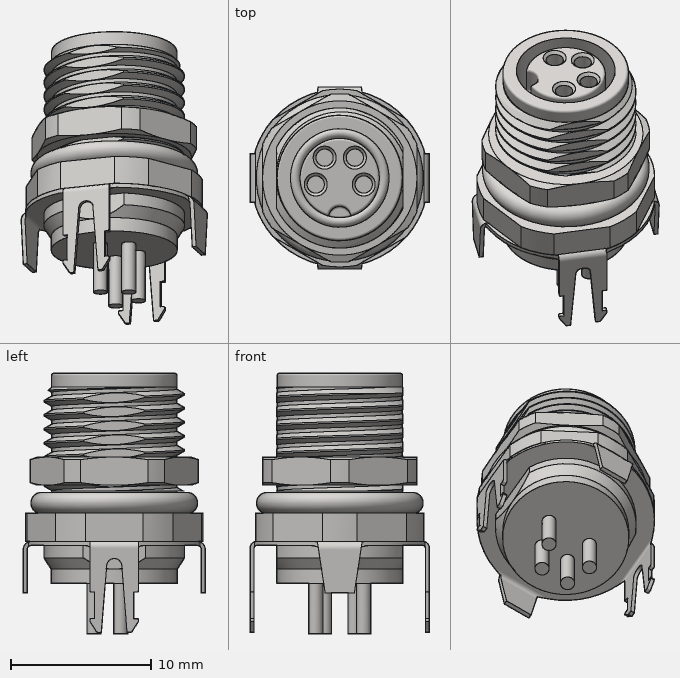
import cadquery as cq
import math


top_z = 18.6
thread_top_z = 17.6
thread_bottom_z = 10.17
nut_top_z = 12.61
nut_height = 2.0
flange_top_z = 8.61
flange_height = 2.0
body_cone_top_z = 5.43
body_cone_bottom_z = 4.61
body_bottom_z = 3.6

thread_diameter = 10.0
crest_radius = thread_diameter / 2
thread_pitch = thread_diameter / 10
root_radius = 4.46
rim_radius = 4.48
crest_width = 0.11
flank_angle = 30
thread_root_overlap = 0.1
thread_crest_z_at_front = 17.1
thread_lead_in = 0.93
rim_round = 0.19
side_flat = 4.5

nut_flat = 5.5
nut_corner_radius = 6.0
nut_face_radius = nut_flat
nut_chamfer_height = 0.19
flange_flat = 6.0
flange_corner_radius = 6.35
ring_outer_radius = 5.95
ring_section_radius = 0.76
ring_squash = 0.04
ring_z = flange_top_z + ring_section_radius - ring_squash

lower_radius = 5.02
tail_radius = side_flat

recess_radius = 3.52
recess_depth = 5.58
insert_radius = 2.83
insert_top_z = 18.4
insert_edge_round = 0.19
contact_hole_radius = 0.61
contact_mouth_radius = 0.82
contact_hole_depth = 5.0
contact_spots = [(-1.08, 1.45), (1.08, 1.45), (-1.71, -0.46), (1.71, -0.46)]
keyway_radius = 0.8
keyway_depth = 2.0
keyway_round = 0.19
keyway_corner_round = 0.1
pin_radius = 0.5

sheet = 0.3
plate_radius = 6.32
plate_top_z = flange_top_z - flange_height
plate_bottom_z = plate_top_z - sheet

fork_outer = 6.4
fork_bend_radius = 0.48
fork_half_width = 1.73
fork_neck_half_width = 1.4
fork_shoulder_z = 2.98
fork_barb_z = 1.1
fork_barb_low_z = 0.87
fork_edge_round = 0.1
fork_tip_z = 0.11
fork_tip_outer = 1.17
fork_tip_round = 0.15
fork_tip_side = 1.3
fork_tip_side_z = 0.22
fork_tip_inner = 0.91
slot_radius = 0.54
slot_arch_z = 4.84

tab_span = 13.0
tab_outer = tab_span / 2
tab_bend_radius = 0.6
tab_half_width = 1.6
tab_tip_half_width = 1.05
tab_tip_z = 2.92


def cylinder(radius, lower_z, upper_z):
    return cq.Workplane("XY").workplane(offset=lower_z).circle(radius).extrude(upper_z - lower_z)


def revolved(points):
    """Solid of revolution about Z from (radius, z) points."""
    return cq.Workplane("XZ").polyline(points).close().revolve(360, (0, 0), (0, 1))


def hexagon(flat, bottom_z, height):
    """Hexagonal prism with two sides facing +X and -X."""
    corner_diameter = 2 * flat / math.cos(math.radians(30))
    prism = cq.Workplane("XY").polygon(6, corner_diameter).extrude(height)
    return prism.rotate((0, 0, 0), (0, 0, 1), 30).translate((0, 0, bottom_z))


def flat_sided(shape):
    """Cut a round shape to the two flats facing +X and -X."""
    size = 2 * top_z
    return shape.intersect(cq.Workplane("XY").box(2 * side_flat, size, size))


def thread():
    """Single right-hand ridge, clipped to the threaded length, lead-in chamfer and side flats."""
    spread = math.tan(math.radians(flank_angle))
    base_radius = root_radius - thread_root_overlap
    half_crest = crest_width / 2
    half_base = half_crest + (crest_radius - base_radius) * spread
    first_crest_z = thread_crest_z_at_front - 0.75 * thread_pitch
    turns_below = math.ceil((first_crest_z - thread_bottom_z) / thread_pitch) + 1
    start_z = first_crest_z - turns_below * thread_pitch
    helix_height = (turns_below + 2) * thread_pitch
    helix = cq.Wire.makeHelix(thread_pitch, helix_height, base_radius).translate(cq.Vector(0, 0, start_z))
    profile = [
        (base_radius, start_z - half_base),
        (crest_radius, start_z - half_crest),
        (crest_radius, start_z + half_crest),
        (base_radius, start_z + half_base),
    ]
    ridge = cq.Workplane("XZ").polyline(profile).close().sweep(cq.Workplane(helix), isFrenet=True)
    envelope_radius = root_radius + 2 * (crest_radius - root_radius)
    envelope = revolved([
        (0, thread_bottom_z),
        (envelope_radius, thread_bottom_z),
        (envelope_radius, thread_top_z - thread_lead_in),
        (root_radius, thread_top_z),
        (0, thread_top_z),
    ])
    return ridge.intersect(flat_sided(envelope))


def sleeve():
    rim = cylinder(rim_radius, thread_top_z, top_z).faces(">Z").edges().fillet(rim_round)
    core = cylinder(root_radius, thread_bottom_z, thread_top_z)
    neck = cylinder(rim_radius, flange_top_z, thread_bottom_z)
    return core.union(thread()).union(rim).union(neck)


def nut():
    bottom_z = nut_top_z - nut_height
    blank = revolved([
        (0, bottom_z),
        (nut_face_radius, bottom_z),
        (nut_corner_radius, bottom_z + nut_chamfer_height),
        (nut_corner_radius, nut_top_z - nut_chamfer_height),
        (nut_face_radius, nut_top_z),
        (0, nut_top_z),
    ])
    return hexagon(nut_flat, bottom_z, nut_height).intersect(blank)


def flange():
    blank = cylinder(flange_corner_radius, plate_top_z, flange_top_z)
    return hexagon(flange_flat, plate_top_z, flange_height).intersect(blank)


def ring(mean_radius, section_radius, z):
    section = cq.Workplane("XZ").center(mean_radius, z).circle(section_radius)
    return section.revolve(360, (-mean_radius, 0), (-mean_radius, 1))


def lower_body():
    tail = cylinder(tail_radius, body_bottom_z, plate_top_z)
    wide = revolved([
        (0, body_cone_bottom_z),
        (tail_radius, body_cone_bottom_z),
        (lower_radius, body_cone_top_z),
        (lower_radius, plate_top_z),
        (0, plate_top_z),
    ])
    return tail.union(flat_sided(wide))


def bent_strip(plane, outer, bend_radius, tip_z):
    """Wide sheet running outward under the flange and bent down, before its outline is trimmed."""
    inner = outer - sheet
    inner_bend = bend_radius - sheet
    diagonal = math.sqrt(0.5)
    centre_out = outer - bend_radius
    centre_z = plate_top_z - bend_radius
    return (
        cq.Workplane(plane)
        .moveTo(side_flat, plate_top_z)
        .lineTo(centre_out, plate_top_z)
        .threePointArc(
            (centre_out + bend_radius * diagonal, centre_z + bend_radius * diagonal),
            (outer, centre_z),
        )
        .lineTo(outer, tip_z)
        .lineTo(inner, tip_z)
        .lineTo(inner, centre_z)
        .threePointArc(
            (centre_out + inner_bend * diagonal, centre_z + inner_bend * diagonal),
            (centre_out, plate_bottom_z),
        )
        .lineTo(side_flat, plate_bottom_z)
        .close()
        .extrude(plate_radius / 2, both=True)
    )


def fork_outline():
    """Outline of the leg on the +X side: two barbed prongs either side of an arched slot."""
    half = (
        cq.Workplane("YZ")
        .moveTo(0, plate_top_z)
        .lineTo(fork_half_width, plate_top_z)
        .lineTo(fork_half_width, fork_shoulder_z + fork_edge_round)
        .radiusArc((fork_half_width - fork_edge_round, fork_shoulder_z), fork_edge_round)
        .lineTo(fork_neck_half_width, fork_shoulder_z)
        .lineTo(fork_neck_half_width, fork_barb_z)
        .lineTo(fork_half_width - fork_edge_round, fork_barb_z)
        .radiusArc((fork_half_width, fork_barb_z - fork_edge_round), fork_edge_round)
        .lineTo(fork_half_width, fork_barb_low_z)
        .lineTo(fork_tip_side, fork_tip_side_z)
        .radiusArc((fork_tip_outer, fork_tip_z), fork_tip_round)
        .lineTo(fork_tip_inner, fork_tip_z)
        .lineTo(slot_radius, slot_arch_z)
        .radiusArc((0, slot_arch_z + slot_radius), -slot_radius)
        .close()
        .extrude(fork_outer)
    )
    return half.union(half.mirror("XZ"))


def taper_outline():
    """Outline of the leg on the +Y side, narrowing from the plate to its tip."""
    return (
        cq.Workplane("XZ")
        .moveTo(-tab_half_width, plate_top_z)
        .lineTo(tab_half_width, plate_top_z)
        .lineTo(tab_tip_half_width, tab_tip_z)
        .lineTo(-tab_tip_half_width, tab_tip_z)
        .close()
        .extrude(-tab_outer)
    )


def shield():
    """Bent sheet trimmed to the round plate and the outlines of its four legs."""
    fork_bend_start = fork_outer - fork_bend_radius
    tab_bend_start = tab_outer - tab_bend_radius
    sheet_metal = (
        cq.Workplane("XY")
        .workplane(offset=plate_bottom_z)
        .rect(2 * fork_bend_start, 2 * tab_bend_start)
        .extrude(sheet)
    )
    fork_strip = bent_strip("XZ", fork_outer, fork_bend_radius, fork_tip_z)
    tab_strip = bent_strip("YZ", tab_outer, tab_bend_radius, tab_tip_z)
    for strip in (fork_strip, fork_strip.mirror("YZ"), tab_strip, tab_strip.mirror("XZ")):
        sheet_metal = sheet_metal.union(strip)
    trim = cylinder(plate_radius, plate_top_z - tab_bend_radius, plate_top_z)
    fork = fork_outline()
    taper = taper_outline()
    for outline in (fork, fork.mirror("YZ"), taper, taper.mirror("XZ")):
        trim = trim.union(outline)
    return sheet_metal.intersect(trim)


def contact_cutter(spot):
    """Blind contact hole with a countersunk mouth."""
    mouth_depth = contact_mouth_radius - contact_hole_radius
    return revolved([
        (0, insert_top_z - contact_hole_depth),
        (contact_hole_radius, insert_top_z - contact_hole_depth),
        (contact_hole_radius, insert_top_z - mouth_depth),
        (contact_mouth_radius, insert_top_z),
        (0, insert_top_z),
    ]).translate((spot[0], spot[1], 0))


def insert():
    """Socket insert standing in the recess, with four contacts and an open keyway."""
    block = cylinder(insert_radius, top_z - recess_depth, insert_top_z)
    keyway = cylinder(keyway_radius, insert_top_z - keyway_depth, insert_top_z)
    keyway = keyway.faces("<Z").edges().fillet(keyway_round).translate((0, -insert_radius, 0))
    block = block.cut(keyway)
    corner_box = cq.selectors.BoxSelector(
        (-insert_radius, -insert_radius, insert_top_z - keyway_depth),
        (insert_radius, -insert_radius / 2, insert_top_z),
    )
    block = block.edges(corner_box).edges("|Z").edges("<X or >X").fillet(keyway_corner_round)
    block = block.faces(">Z").edges().fillet(insert_edge_round)
    for spot in contact_spots:
        block = block.cut(contact_cutter(spot))
    return block


body = sleeve()
for piece in (
    nut(),
    flange(),
    ring(ring_outer_radius - ring_section_radius, ring_section_radius, ring_z),
    lower_body(),
    shield(),
):
    body = body.union(piece)

recess_floor_z = top_z - recess_depth
seal_section_radius = (recess_radius - insert_radius) / 2
seal_mean_radius = (recess_radius + insert_radius) / 2
body = body.cut(cylinder(recess_radius, recess_floor_z, top_z))
body = body.union(insert())
body = body.union(ring(seal_mean_radius, seal_section_radius, recess_floor_z))

pins = cq.Workplane("XY").pushPoints(contact_spots).circle(pin_radius).extrude(body_bottom_z)
result = body.union(pins)